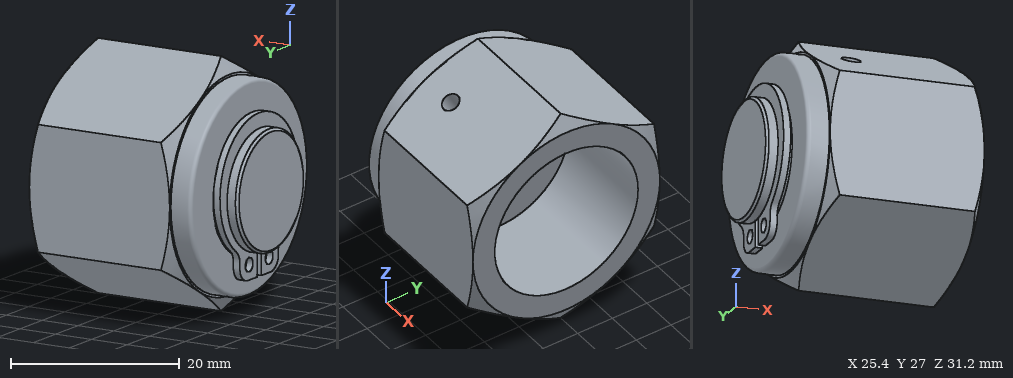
import cadquery as cq
import math

total_length = 25.4
clearance = 0.203

across_corners = 31.18
across_flats = across_corners * math.cos(math.radians(30))
hex_start = 5.8
corner_chamfer_angle = 30.0
collar_start = 3.0
collar_diameter = 26.4
collar_fillet = 0.53
mouth_chamfer = 0.5
shoulder_x = 8.1

weep_diameter = 2.3
weep_x = 11.07
weep_tilt = 30.0

stem_diameter = 15.1
stem_chamfer = 0.3
head_diameter = 20.3
head_end = 11.35
root_cone = 0.2
groove_diameter = 12.0
groove_start = 1.45
groove_end = 2.6

ring_start = 1.68
ring_thickness = groove_end - ring_start
ring_diameter = 17.62
ring_rise = 0.53
ear_half_width = 4.33
ear_bottom = -10.63
ear_radius = 1.8
ring_gap = 0.95
ear_hole_diameter = 1.7
ear_hole_y = 2.25
ear_hole_z = -8.75


def cylinder(start, end, diameter):
    """Cylinder along the X axis between two X positions."""
    return cq.Workplane("YZ", origin=(start, 0, 0)).circle(diameter / 2).extrude(end - start)


def make_hexagon():
    """Hexagonal prism with corners on +-Z and conically chamfered ends."""
    corner_angles = [math.radians(90 + 60 * i) for i in range(6)]
    corner_radius = across_corners / 2
    corners = [(corner_radius * math.cos(a), corner_radius * math.sin(a)) for a in corner_angles]
    prism = (
        cq.Workplane("YZ", origin=(hex_start, 0, 0))
        .polyline(corners)
        .close()
        .extrude(total_length - hex_start)
    )

    face_radius = across_flats / 2
    depth = (corner_radius - face_radius) * math.tan(math.radians(corner_chamfer_angle))
    envelope = (
        cq.Workplane("XY")
        .moveTo(hex_start, 0)
        .lineTo(hex_start, face_radius)
        .lineTo(hex_start + depth, corner_radius)
        .lineTo(total_length - depth, corner_radius)
        .lineTo(total_length, face_radius)
        .lineTo(total_length, 0)
        .close()
        .revolve(360, (0, 0, 0), (1, 0, 0))
    )
    return prism.intersect(envelope)


def make_weep_hole():
    """Radial cutter from the nut axis out through the flat."""
    tilt = math.radians(weep_tilt)
    direction = cq.Vector(0, -math.sin(tilt), math.cos(tilt))
    cutter = cq.Solid.makeCylinder(weep_diameter / 2, across_corners / 2, cq.Vector(weep_x, 0, 0), direction)
    return cq.Workplane(obj=cutter)


def make_nut():
    """Hexagon and collar with a stem hole, an open bore and a weep hole."""
    collar = cylinder(collar_start, hex_start, collar_diameter).faces("<X").edges().fillet(collar_fillet)
    stem_hole = cylinder(collar_start, shoulder_x, stem_diameter + 2 * clearance)
    bore = cylinder(shoulder_x, total_length, head_diameter + 2 * clearance)
    nut = make_hexagon().union(collar).cut(stem_hole)
    nut = nut.faces("<X").edges("%CIRCLE").edges(cq.selectors.RadiusNthSelector(0)).chamfer(mouth_chamfer)
    return nut.cut(bore).cut(make_weep_hole())


def make_plug():
    """Stem with a ring groove and a retaining head."""
    stem = cylinder(0, shoulder_x, stem_diameter).faces("<X").edges().chamfer(stem_chamfer)
    head = cylinder(shoulder_x, head_end, head_diameter)
    groove = cylinder(groove_start, groove_end, stem_diameter).cut(
        cylinder(groove_start, groove_end, groove_diameter)
    )
    root = cq.Workplane(obj=cq.Solid.makeCone(
        stem_diameter / 2,
        stem_diameter / 2 + root_cone,
        root_cone,
        cq.Vector(shoulder_x - root_cone, 0, 0),
        cq.Vector(1, 0, 0),
    ))
    return stem.union(head).union(root).cut(groove)


def make_retaining_ring():
    """Ring seated in the plug groove, open between its two ears."""
    plane = cq.Workplane("YZ", origin=(ring_start, 0, 0))
    disc = plane.center(0, ring_rise).circle(ring_diameter / 2).extrude(ring_thickness)
    ears = (
        plane.center(0, ear_bottom / 2)
        .rect(2 * ear_half_width, -ear_bottom)
        .extrude(ring_thickness)
        .edges("|X and <Z")
        .fillet(ear_radius)
    )

    junction_z = ring_rise - math.sqrt((ring_diameter / 2) ** 2 - ear_half_width**2)
    margin = 0.3
    junction_box = cq.selectors.BoxSelector(
        (ring_start - margin, -ear_half_width - margin, junction_z - margin),
        (groove_end + margin, ear_half_width + margin, junction_z + margin),
    )
    ring = disc.union(ears).edges("|X").edges(junction_box).fillet(ear_radius)

    opening = plane.circle(groove_diameter / 2).extrude(ring_thickness)
    gap = plane.center(0, ear_bottom / 2).rect(ring_gap, -ear_bottom).extrude(ring_thickness)
    ear_holes = (
        plane.pushPoints([(side * ear_hole_y, ear_hole_z) for side in (-1, 1)])
        .circle(ear_hole_diameter / 2)
        .extrude(ring_thickness)
    )
    return ring.cut(opening).cut(gap).cut(ear_holes)


nut = make_nut()
plug = make_plug()
retaining_ring = make_retaining_ring()

result = cq.Compound.makeCompound([nut.val(), plug.val(), retaining_ring.val()])